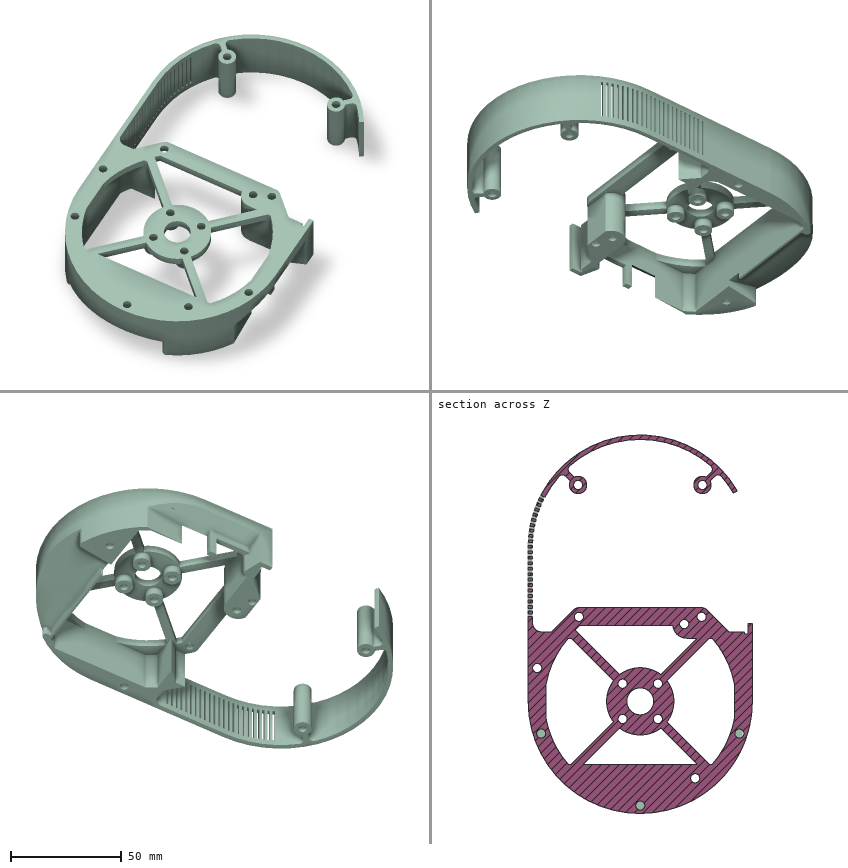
import cadquery as cq
import math

HEIGHT = 25.6
LENGTH = 172.0
WIDTH = 102.0
OUTER_R = WIDTH / 2
WALL = 2.2
PLATE = 4.0
TOUCH = 0.5
MARGIN = 3.5
HOLE_D = 4.0
BOSS_D = 8.0

LOOP_Y = LENGTH - 2 * OUTER_R
LOOP_END_ANGLE = 30.0
INNER_R = OUTER_R - WALL
PLATE_Z = HEIGHT - PLATE

SHOULDER_Y = 31.6
BRIDGE_Y = 42.7
SHOULDER_X = 40.2
BRIDGE_X = SHOULDER_X - (BRIDGE_Y - SHOULDER_Y)
BRIDGE_CORNER_R = 4.0
COVE_R = 4.0
TAB_Y = 35.5
NOTCH_W = 1.4
NOTCH_Y = 30.6

WINDOW_R = 43.3
WINDOW_WIDTH = 85.1
WINDOW_LENGTH = 57.0
WINDOW_X = WINDOW_WIDTH / 2
WINDOW_Y = WINDOW_LENGTH / 2
BRIDGE_INNER_Y = 34.2
BRIDGE_WINDOW_X = 31.0
SPOKE_W = 4.0

HUB_D = 30.8
BORE_D = 12.0
HUB_BOLT_PITCH = 16.0
HUB_HOLE = HUB_BOLT_PITCH / 2
HUB_BOSS_DROP = 4.0
HUB_BOLTS = [(x, y) for x in (-HUB_HOLE, HUB_HOLE) for y in (-HUB_HOLE, HUB_HOLE)]

CHAMBER_R = 3.5
PASSAGE_X = 27.2
BODY_END_Y = 40.8
SCREW_BOSS = (21.2, 35.1)
SCREW_BOSS_R = 6.5

POST_X = 28.2
POST_Y = 98.2
NECK_W = 2.5
NECK_FILLET = 2.0

THROUGH_HOLES = [(-27.9, 38.4), (27.9, 38.4), (20.0, 35.1), (-46.8, 15.1), (25.0, -35.0)]
BLIND_R = 47.3
BLIND_ANGLES = (-162.0, -90.0, -18.0)
BLIND_DEPTH = 10.0

SLOT_COUNT = 23
SLOT_ROW = 54.9
SLOT_PITCH = SLOT_ROW / (SLOT_COUNT - 1)
SLOT_W = 1.0
SLOT_FIRST_Y = 39.0
SLOT_BOTTOM = 3.1
SLOT_TOP = 22.5

FRONT_RAMP_ANGLE = 18.5
FRONT_RAMP_TOP = 10.8
FRONT_LEFT_X = -36.6
FRONT_RIGHT_X = 18.2
FRONT_RIGHT_INNER_X = 15.1
FRONT_PASSAGE_X = 7.7
FRONT_BACK_WALL = 1.0
FRONT_BACK_FILLET = 1.4
MOUTH_LEFT_R = 1.5
MOUTH_RIGHT_R = 1.9

SIDE_RAMP_ANGLE = 39.5
SIDE_RAMP_TOP = 19.3
SIDE_MOUTH = (43.7, -26.1)
SIDE_INNER_Y = -7.4
SIDE_END_INNER_Y = 25.8
SIDE_END_OUTER_Y = 28.9
SIDE_POST_Y = (5.8, 9.3)
SIDE_POST_T = 2.5
SIDE_LINTEL_Z = 10.5


def slab(x0, x1, y0, y1, z0, z1):
    """Box given by its limits."""
    return cq.Workplane("XY").box(x1 - x0, y1 - y0, z1 - z0, centered=False).translate((x0, y0, z0))


def cylinder(x, y, diameter, z0, z1):
    return cq.Workplane("XY", origin=(x, y, z0)).circle(diameter / 2).extrude(z1 - z0)


def prism(points, z0, z1):
    return cq.Workplane("XY", origin=(0, 0, z0)).polyline(points).close().extrude(z1 - z0)


def base_block():
    """Round-nosed block with the raised bridge, the cove and the notched tab at its rear."""
    return (
        cq.Workplane("XY")
        .moveTo(-OUTER_R, 0)
        .threePointArc((0, -OUTER_R), (OUTER_R, 0))
        .lineTo(OUTER_R, TAB_Y)
        .lineTo(INNER_R, TAB_Y)
        .lineTo(INNER_R, NOTCH_Y)
        .lineTo(INNER_R - NOTCH_W, NOTCH_Y)
        .lineTo(INNER_R - NOTCH_W, SHOULDER_Y)
        .lineTo(SHOULDER_X, SHOULDER_Y)
        .lineTo(BRIDGE_X, BRIDGE_Y)
        .lineTo(-BRIDGE_X, BRIDGE_Y)
        .lineTo(-SHOULDER_X, SHOULDER_Y)
        .lineTo(COVE_R - INNER_R, SHOULDER_Y)
        .radiusArc((-INNER_R, SHOULDER_Y + COVE_R), COVE_R)
        .lineTo(-OUTER_R, SHOULDER_Y + COVE_R)
        .close()
        .extrude(HEIGHT)
        .edges("|Z and >Y")
        .fillet(BRIDGE_CORNER_R)
    )


def loop_wall():
    """Straight left wall running into the large open arc."""
    end = math.radians(LOOP_END_ANGLE)
    cos_end, sin_end = math.cos(end), math.sin(end)
    return (
        cq.Workplane("XY")
        .moveTo(-OUTER_R, SHOULDER_Y)
        .lineTo(-OUTER_R, LOOP_Y)
        .threePointArc((0, LOOP_Y + OUTER_R), (OUTER_R * cos_end, LOOP_Y + OUTER_R * sin_end))
        .lineTo(INNER_R * cos_end, LOOP_Y + INNER_R * sin_end)
        .threePointArc((0, LOOP_Y + INNER_R), (-INNER_R, LOOP_Y))
        .lineTo(-INNER_R, SHOULDER_Y)
        .close()
        .extrude(HEIGHT)
    )


def loop_with_posts():
    """Loop wall with two screw posts, each on a filleted 45 degree neck."""
    loop = loop_wall()
    reach = 1.5 * BOSS_D
    rim = cylinder(0, LOOP_Y, 2 * (OUTER_R - WALL / 2), 0, HEIGHT)
    for side in (-1, 1):
        neck = slab(0, reach, -NECK_W / 2, NECK_W / 2, 0, HEIGHT)
        neck = neck.rotate((0, 0, 0), (0, 0, 1), 90 - 45 * side).translate((side * POST_X, POST_Y, 0))
        loop = loop.union(neck.intersect(rim)).union(cylinder(side * POST_X, POST_Y, BOSS_D, 0, HEIGHT))

    def at_neck_root(edge):
        center = edge.Center()
        from_loop = math.hypot(center.x, center.y - LOOP_Y)
        from_post = math.hypot(abs(center.x) - POST_X, center.y - POST_Y)
        return abs(from_loop - INNER_R) < TOUCH and from_post < reach

    roots = [edge for edge in loop.edges("|Z").vals() if at_neck_root(edge)]
    loop = loop.newObject(roots).fillet(NECK_FILLET)
    for side in (-1, 1):
        loop = loop.cut(cylinder(side * POST_X, POST_Y, HOLE_D, 0, HEIGHT))
    return loop


def chamber():
    """Hollow under the plate, open below and to the rear under the bridge."""
    hollow = slab(-WINDOW_X, WINDOW_X, -WINDOW_Y, WINDOW_Y, 0, PLATE_Z)
    hollow = hollow.edges("|Z and >Y").fillet(CHAMBER_R)
    hollow = hollow.intersect(cylinder(0, 0, 2 * INNER_R, 0, PLATE_Z))
    wide_x = PASSAGE_X + BRIDGE_INNER_Y - WINDOW_Y
    passage = prism([(-PASSAGE_X, 0), (-PASSAGE_X, WINDOW_Y), (-wide_x, BRIDGE_INNER_Y), (-wide_x, BRIDGE_Y),
                     (SCREW_BOSS[0], BRIDGE_Y), (SCREW_BOSS[0], 0)], 0, PLATE_Z)
    behind = slab(-SHOULDER_X, SHOULDER_X, BODY_END_Y, BRIDGE_Y + MARGIN, 0, PLATE_Z)
    boss = cylinder(*SCREW_BOSS, 2 * SCREW_BOSS_R, 0, PLATE_Z)
    return hollow.union(passage).cut(boss).union(behind)


def windows():
    """Plate openings, leaving four diagonal spokes and the screw boss."""
    z0, z1 = PLATE_Z, HEIGHT
    trim = BRIDGE_INNER_Y - BRIDGE_WINDOW_X
    opening = slab(-WINDOW_X, WINDOW_X, -WINDOW_Y, WINDOW_Y, z0, z1)
    opening = opening.intersect(cylinder(0, 0, 2 * WINDOW_R, z0, z1))
    rear = prism([(0, 0), (-BRIDGE_WINDOW_X, BRIDGE_WINDOW_X), (-BRIDGE_WINDOW_X + trim, BRIDGE_INNER_Y),
                  (SCREW_BOSS[0], BRIDGE_INNER_Y), (SCREW_BOSS[0], 0)], z0, z1)
    opening = opening.union(rear).cut(cylinder(*SCREW_BOSS, 2 * SCREW_BOSS_R, z0, z1))
    for angle in (45, 135):
        spoke = slab(-LENGTH, LENGTH, -SPOKE_W / 2, SPOKE_W / 2, z0, z1)
        opening = opening.cut(spoke.rotate((0, 0, 0), (0, 0, 1), angle))
    return opening.cut(cylinder(0, 0, HUB_D, z0, z1))


def hub_bosses():
    bosses = cq.Workplane("XY")
    for x, y in HUB_BOLTS:
        bosses = bosses.union(cylinder(x, y, BOSS_D, PLATE_Z - HUB_BOSS_DROP, PLATE_Z))
    return bosses


def holes():
    drills = cylinder(0, 0, BORE_D, 0, HEIGHT)
    for x, y in HUB_BOLTS + THROUGH_HOLES:
        drills = drills.union(cylinder(x, y, HOLE_D, 0, HEIGHT))
    for angle in BLIND_ANGLES:
        x = BLIND_R * math.cos(math.radians(angle))
        y = BLIND_R * math.sin(math.radians(angle))
        drills = drills.union(cylinder(x, y, HOLE_D, HEIGHT - BLIND_DEPTH, HEIGHT))
    return drills


def front_chute():
    """Wedge under a ramp that rises toward -Y, mostly closed by a thin back wall."""
    slope = math.tan(math.radians(FRONT_RAMP_ANGLE))
    front_y = -OUTER_R - MARGIN
    back_y = -WINDOW_Y - FRONT_BACK_WALL

    def wedge(rear_y):
        top = FRONT_RAMP_TOP + slope * MARGIN
        bottom = top - slope * (rear_y - front_y)
        return (
            cq.Workplane("YZ", origin=(-OUTER_R, 0, 0))
            .polyline([(front_y, 0), (front_y, top), (rear_y, bottom), (rear_y, 0)])
            .close()
            .extrude(2 * OUTER_R)
        )

    lean = (FRONT_RIGHT_X - FRONT_RIGHT_INNER_X) / (OUTER_R - WINDOW_Y)
    right_front = FRONT_RIGHT_X + lean * MARGIN
    plan = prism([(FRONT_LEFT_X, front_y), (right_front, front_y),
                  (FRONT_RIGHT_INNER_X, -WINDOW_Y), (FRONT_LEFT_X, -WINDOW_Y)], 0, HEIGHT)
    closed = wedge(back_y).faces(">Y").edges(">Z").fillet(FRONT_BACK_FILLET)
    open_part = wedge(-WINDOW_Y).intersect(slab(FRONT_PASSAGE_X, OUTER_R, front_y, 0, 0, HEIGHT))
    return closed.union(open_part).intersect(plan)


def side_chute():
    """Opening through the right wall under a ramp that rises toward +X."""
    slope = math.tan(math.radians(SIDE_RAMP_ANGLE))
    outer_x = OUTER_R + MARGIN
    inner_x = WINDOW_X - CHAMBER_R
    inner_z = SIDE_RAMP_TOP - slope * (OUTER_R - inner_x)
    outer_z = SIDE_RAMP_TOP + slope * MARGIN
    under_ramp = (
        cq.Workplane("XZ", origin=(0, OUTER_R, 0))
        .polyline([(inner_x, 0), (inner_x, inner_z), (outer_x, outer_z), (outer_x, 0)])
        .close()
        .extrude(2 * OUTER_R)
    )
    plan = prism([(inner_x, SIDE_INNER_Y), (WINDOW_X, SIDE_INNER_Y), SIDE_MOUTH, (outer_x, SIDE_MOUTH[1]),
                  (outer_x, SIDE_END_OUTER_Y), (OUTER_R, SIDE_END_OUTER_Y),
                  (WINDOW_X, SIDE_END_INNER_Y), (inner_x, SIDE_END_INNER_Y)], 0, HEIGHT)
    post_start, post_end = SIDE_POST_Y
    inner_wall_x = WINDOW_X + SIDE_POST_T
    post = slab(WINDOW_X, inner_wall_x, post_start, post_end, 0, HEIGHT)
    lintel = slab(WINDOW_X, inner_wall_x, post_end, WINDOW_Y, SIDE_LINTEL_Z, HEIGHT)
    return plan.intersect(under_ramp).cut(post).cut(lintel)


def vent_slots():
    """Slots square to the wall, evenly spaced along its outer face."""
    cuts = cq.Workplane("XY")
    for index in range(SLOT_COUNT):
        along = SLOT_FIRST_Y + index * SLOT_PITCH
        past_straight = max(0.0, along - LOOP_Y)
        turn = math.degrees(past_straight / OUTER_R)
        y = min(along, LOOP_Y)
        y0, y1 = y - SLOT_W / 2, y + SLOT_W / 2
        slot = slab(-OUTER_R - WALL, WALL - INNER_R, y0, y1, SLOT_BOTTOM, SLOT_TOP)
        cuts = cuts.union(slot.rotate((0, LOOP_Y, 0), (0, LOOP_Y, 1), -turn))
    return cuts


def round_mouth(body, flank_x, radius):
    """Round the outer corner of one front chute flank."""
    mouth = cq.selectors.BoxSelector(
        (flank_x - MARGIN, -OUTER_R, 0), (flank_x + MARGIN, -WINDOW_Y - MARGIN, PLATE_Z / 2)
    )
    return body.edges("|Z").edges(mouth).fillet(radius)


body = base_block().cut(chamber()).cut(front_chute()).cut(side_chute())
body = round_mouth(body, FRONT_LEFT_X, MOUTH_LEFT_R)
body = round_mouth(body, FRONT_RIGHT_X, MOUTH_RIGHT_R)
body = body.cut(windows()).union(hub_bosses()).union(loop_with_posts())
result = body.cut(vent_slots()).cut(holes())